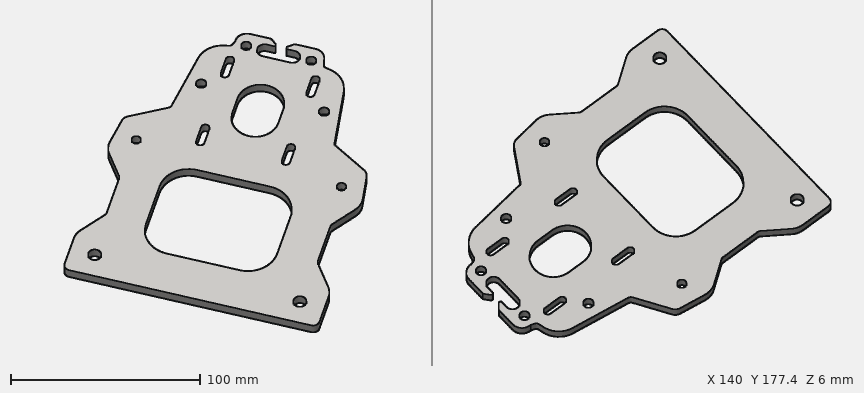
import cadquery as cq

THICKNESS = 6.0
LENGTH = 177.4
HALF_WIDTH = 70.0

WAIST_HALF_WIDTH = 58.0
WAIST_BOTTOM_Y = 41.3
WAIST_TOP_Y = 66.9
FLARE_LENGTH = 16.9
LOBE_TOP = (66.9, 105.7)
TOWER_FOOT = (44.9, 119.0)
SHOULDER = (38.7, 163.8)
NECK = (25.5, 167.1)
EAR_FOOT = (24.3, 170.4)

BASE_RADIUS = 3.5
FLARE_RADIUS = 10.8
INNER_RADIUS = 2.5
LOBE_TOP_RADIUS = 5.0
SHOULDER_RADIUS = 14.0
NECK_RADIUS = 1.5
EAR_RADIUS = 6.4

HOOK_SLOT_Y = 169.0
HOOK_SLOT_LENGTH = 23.4
HOOK_SLOT_HEIGHT = 8.0
MOUTH_HALF_WIDTH = 3.0
MOUTH_FLARE_HALF_WIDTH = 6.5
MOUTH_FLARE_DEPTH = 2.9
HOOK_TIP_RADIUS = 0.6

MOTOR_Y = 129.45
MOTOR_OPENING_WIDTH = 25.2
MOTOR_OPENING_LENGTH = 35.0
MOTOR_SLOT_PITCH = 47.0
MOTOR_SLOT_WIDTH = 4.5
MOTOR_SLOT_LENGTH = 14.2

WINDOW_WIDTH = 72.0
WINDOW_LENGTH = 57.8
WINDOW_Y = 53.8
WINDOW_RADIUS = 16.0

EAR_HOLES = (17.85, 169.2, 5.4)
TOWER_HOLES = (33.75, 138.5, 5.5)
LOBE_HOLES = (56.35, 93.1, 5.0)
BASE_HOLES = (56.35, 13.6, 7.0)


def make_plate():
    """Solid plate with its rounded outline."""
    ear_corner = (EAR_FOOT[0], LENGTH)
    flare_bottom = (HALF_WIDTH, WAIST_BOTTOM_Y - FLARE_LENGTH)
    lobe_bottom = (HALF_WIDTH, WAIST_TOP_Y + FLARE_LENGTH)
    waist_bottom = (WAIST_HALF_WIDTH, WAIST_BOTTOM_Y)
    waist_top = (WAIST_HALF_WIDTH, WAIST_TOP_Y)
    right_side = [
        (HALF_WIDTH, 0),
        flare_bottom,
        waist_bottom,
        waist_top,
        lobe_bottom,
        LOBE_TOP,
        TOWER_FOOT,
        SHOULDER,
        NECK,
        EAR_FOOT,
        ear_corner,
    ]
    left_side = [(-x, y) for x, y in reversed(right_side)]
    plate = cq.Workplane("XY").polyline(right_side + left_side).close().extrude(THICKNESS)
    rounded_corners = [
        ((HALF_WIDTH, 0), BASE_RADIUS),
        (flare_bottom, FLARE_RADIUS),
        (waist_bottom, INNER_RADIUS),
        (waist_top, INNER_RADIUS),
        (lobe_bottom, FLARE_RADIUS),
        (LOBE_TOP, LOBE_TOP_RADIUS),
        (TOWER_FOOT, INNER_RADIUS),
        (SHOULDER, SHOULDER_RADIUS),
        (NECK, NECK_RADIUS),
        (ear_corner, EAR_RADIUS),
    ]
    for (x, y), radius in rounded_corners:
        for side in (-1, 1):
            corner = (side * x, y, THICKNESS / 2)
            plate = plate.edges("|Z").edges(cq.NearestToPointSelector(corner)).fillet(radius)
    return plate


def cut_hook_slot(plate):
    """Oblong slot opening upward through a flared mouth, leaving two hooks."""
    slot = (
        cq.Workplane("XY")
        .center(0, HOOK_SLOT_Y)
        .slot2D(HOOK_SLOT_LENGTH, HOOK_SLOT_HEIGHT)
        .extrude(THICKNESS)
    )
    flare_y = LENGTH - MOUTH_FLARE_DEPTH
    mouth_outline = [
        (MOUTH_HALF_WIDTH, HOOK_SLOT_Y),
        (MOUTH_HALF_WIDTH, flare_y),
        (MOUTH_FLARE_HALF_WIDTH, LENGTH),
        (-MOUTH_FLARE_HALF_WIDTH, LENGTH),
        (-MOUTH_HALF_WIDTH, flare_y),
        (-MOUTH_HALF_WIDTH, HOOK_SLOT_Y),
    ]
    mouth = cq.Workplane("XY").polyline(mouth_outline).close().extrude(THICKNESS)
    plate = plate.cut(slot.union(mouth))
    tip_y = HOOK_SLOT_Y + HOOK_SLOT_HEIGHT / 2
    for side in (-1, 1):
        for y in (tip_y, flare_y):
            tip = (side * MOUTH_HALF_WIDTH, y, THICKNESS / 2)
            plate = plate.edges("|Z").edges(cq.NearestToPointSelector(tip)).fillet(HOOK_TIP_RADIUS)
    return plate


def cut_motor_mount(plate):
    """Central oblong opening and the four slots around it, all lengthwise in Y."""
    opening = (
        cq.Workplane("XY")
        .center(0, MOTOR_Y)
        .slot2D(MOTOR_OPENING_LENGTH, MOTOR_OPENING_WIDTH, 90)
        .extrude(THICKNESS)
    )
    slots = (
        cq.Workplane("XY")
        .center(0, MOTOR_Y)
        .rarray(MOTOR_SLOT_PITCH, MOTOR_SLOT_PITCH, 2, 2)
        .slot2D(MOTOR_SLOT_LENGTH, MOTOR_SLOT_WIDTH, 90)
        .extrude(THICKNESS)
    )
    return plate.cut(opening).cut(slots)


def cut_window(plate):
    """Large rectangular window with rounded corners."""
    window = (
        cq.Workplane("XY")
        .center(0, WINDOW_Y)
        .rect(WINDOW_WIDTH, WINDOW_LENGTH)
        .extrude(THICKNESS)
        .edges("|Z")
        .fillet(WINDOW_RADIUS)
    )
    return plate.cut(window)


def cut_hole_pair(plate, half_spacing, y, diameter):
    """Two through holes mirrored about X = 0."""
    holes = (
        cq.Workplane("XY")
        .pushPoints([(-half_spacing, y), (half_spacing, y)])
        .circle(diameter / 2)
        .extrude(THICKNESS)
    )
    return plate.cut(holes)


result = make_plate()
result = cut_hook_slot(result)
result = cut_motor_mount(result)
result = cut_window(result)
for hole_pair in (EAR_HOLES, TOWER_HOLES, LOBE_HOLES, BASE_HOLES):
    result = cut_hole_pair(result, *hole_pair)